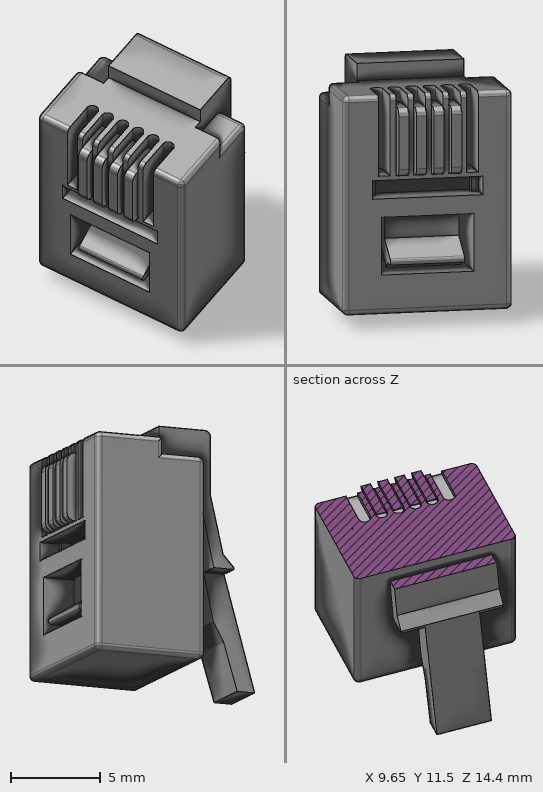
import cadquery as cq
import math


OVERALL_DEPTH = 11.5
OVERALL_HEIGHT = 14.4
CONTACT_PROTRUSION = 0.5

BODY_WIDTH = 9.65
BODY_DEPTH = 6.6
BODY_HEIGHT = 12.45
SHOULDER_Y = 4.06
SHOULDER_Z = 11.52
BODY_FILLET = 0.32

LATCH_WIDTH = 6.1
LATCH_TIP_WIDTH = 3.25
LATCH_TOP = 13.44
LATCH_BLOCK_FRONT = 4.56
LATCH_BLOCK_BACK = 7.69
LATCH_BLOCK_BOTTOM = 9.88
LATCH_FILLET = 0.36
LEVER_STEP_Z = 5.65
LEVER_ROOT_Y = 6.97
LEVER_BEND_Z = 9.76
BARB_ROOT_Y = 8.47
BARB_ROOT_Z = 6.44
BARB_TIP_Y = 9.1
BARB_TIP_Z = 5.76
RELIEF_TOP_Y = 8.48
RELIEF_TOP_Z = 2.88
RELIEF_BOTTOM_Y = 9.1
RELIEF_BOTTOM_Z = 1.79
LEVER_TIP_THICKNESS = 1.07
LEVER_TIP_Y = OVERALL_DEPTH - CONTACT_PROTRUSION
LEVER_TIP_Z = LATCH_TOP - OVERALL_HEIGHT

SLOT_COUNT = 6
CONTACT_COUNT = 4
PITCH = 1.01
ROW_X = 0.03
SLOT_WIDTH = 0.68
SLOT_DEPTH = 2.36
SLOT_BOTTOM = 7.88
CONTACT_WIDTH = 0.58
CONTACT_TOP = 11.74
CONTACT_BACK = 2.1
CONTACT_FILLET = 0.43

CROSS_SLOT_BOTTOM = 6.58
CROSS_SLOT_TOP = 7.63
CROSS_SLOT_WIDTH = 6.3
CROSS_SLOT_DEPTH = 1.15
CROSS_SLOT_INNER_WIDTH = 5.49
CROSS_SLOT_INNER_DEPTH = 1.73

WINDOW_WIDTH = 5.28
WINDOW_BOTTOM = 2.25
WINDOW_TOP = 5.53
WINDOW_DEPTH = 4.32
WINDOW_WALL_RADIUS = 9.94
BAR_WIDTH = 4.25
BAR_FACE_Y = 1.64
BAR_FACE_BOTTOM = 4.0
BAR_THICKNESS = 1.01
BAR_UNDERSIDE_BACK = 0.86
BAR_HEEL_Y = 1.12
BAR_HEEL_Z = 2.43
BAR_NOSE_Y = -0.43
BAR_NOSE_Z = 2.74
BAR_NOSE_FILLET = 0.2


def block(width, y_min, y_max, z_min, z_max):
    """Box centred on X = 0."""
    size = (width, y_max - y_min, z_max - z_min)
    return cq.Workplane("XY").box(*size, centered=(True, False, False)).translate((0, y_min, z_min))


def side_profile(points, width):
    """Closed outline of (y, z) points, extruded symmetrically along X."""
    return cq.Workplane("YZ").polyline(points).close().extrude(width / 2, both=True)


def row_positions(count):
    """X places of a row at the contact pitch, centred on ROW_X."""
    return [ROW_X + (i - (count - 1) / 2) * PITCH for i in range(count)]


def make_body():
    body = block(BODY_WIDTH, 0, BODY_DEPTH, 0, BODY_HEIGHT)
    body = body.cut(block(BODY_WIDTH, SHOULDER_Y, BODY_DEPTH, SHOULDER_Z, BODY_HEIGHT))
    outer_edges = body.faces("<X or >X or <Y or >Y or <Z").edges()
    return outer_edges.fillet(BODY_FILLET)


def make_latch():
    block_part = side_profile(
        [
            (LATCH_BLOCK_FRONT, LATCH_TOP),
            (LATCH_BLOCK_FRONT, BODY_HEIGHT),
            (SHOULDER_Y, BODY_HEIGHT),
            (SHOULDER_Y, LATCH_BLOCK_BOTTOM),
            (LATCH_BLOCK_BACK, LATCH_BLOCK_BOTTOM),
            (LATCH_BLOCK_BACK, LATCH_TOP),
        ],
        LATCH_WIDTH,
    )
    block_part = block_part.edges(">Y and >Z").fillet(LATCH_FILLET)

    lever = side_profile(
        [
            (LEVER_ROOT_Y, LATCH_BLOCK_BOTTOM),
            (LATCH_BLOCK_BACK, LATCH_BLOCK_BOTTOM),
            (LATCH_BLOCK_BACK, LEVER_BEND_Z),
            (BARB_ROOT_Y, BARB_ROOT_Z),
            (BARB_TIP_Y, BARB_TIP_Z),
            (LEVER_TIP_Y, LEVER_TIP_Z),
            (LEVER_TIP_Y - LEVER_TIP_THICKNESS, LEVER_TIP_Z),
            (RELIEF_BOTTOM_Y, RELIEF_BOTTOM_Z),
            (RELIEF_TOP_Y, RELIEF_TOP_Z),
        ],
        LATCH_WIDTH,
    )
    side_trim_width = (LATCH_WIDTH - LATCH_TIP_WIDTH) / 2
    side_trim = block(side_trim_width, BODY_DEPTH, LEVER_TIP_Y, LEVER_TIP_Z, LEVER_STEP_Z)
    trim_x = (LATCH_TIP_WIDTH + side_trim_width) / 2
    for x in (-trim_x, trim_x):
        lever = lever.cut(side_trim.translate((x, 0, 0)))
    return block_part.union(lever)


def make_contact_slot():
    radius = SLOT_WIDTH / 2
    return (
        cq.Workplane("XY", origin=(0, 0, SLOT_BOTTOM))
        .moveTo(-radius, 0)
        .lineTo(radius, 0)
        .lineTo(radius, SLOT_DEPTH - radius)
        .threePointArc((0, SLOT_DEPTH), (-radius, SLOT_DEPTH - radius))
        .close()
        .extrude(BODY_HEIGHT - SLOT_BOTTOM)
    )


def make_contact():
    contact = block(CONTACT_WIDTH, -CONTACT_PROTRUSION, CONTACT_BACK, SLOT_BOTTOM, CONTACT_TOP)
    return contact.edges("|X").fillet(CONTACT_FILLET)


def make_cross_slot():
    outer = block(CROSS_SLOT_WIDTH, 0, CROSS_SLOT_DEPTH, CROSS_SLOT_BOTTOM, CROSS_SLOT_TOP)
    inner = block(CROSS_SLOT_INNER_WIDTH, 0, CROSS_SLOT_INNER_DEPTH, CROSS_SLOT_BOTTOM, CROSS_SLOT_TOP)
    return outer.union(inner)


def make_window():
    half_width = WINDOW_WIDTH / 2
    sagitta = WINDOW_WALL_RADIUS - math.sqrt(WINDOW_WALL_RADIUS**2 - half_width**2)
    return (
        cq.Workplane("XY", origin=(0, 0, WINDOW_BOTTOM))
        .moveTo(-half_width, 0)
        .lineTo(half_width, 0)
        .lineTo(half_width, WINDOW_DEPTH - sagitta)
        .threePointArc((0, WINDOW_DEPTH), (-half_width, WINDOW_DEPTH - sagitta))
        .close()
        .extrude(WINDOW_TOP - WINDOW_BOTTOM)
    )


def make_clamping_bar():
    bar = side_profile(
        [
            (BAR_NOSE_Y, BAR_NOSE_Z),
            (BAR_FACE_Y, BAR_FACE_BOTTOM),
            (BAR_FACE_Y, WINDOW_TOP),
            (BAR_FACE_Y + BAR_THICKNESS, WINDOW_TOP),
            (BAR_FACE_Y + BAR_THICKNESS, BAR_FACE_BOTTOM - BAR_THICKNESS / 2),
            (BAR_HEEL_Y, BAR_HEEL_Z),
            (BAR_UNDERSIDE_BACK, BAR_NOSE_Z),
        ],
        BAR_WIDTH,
    )
    return bar.edges("<Y").fillet(BAR_NOSE_FILLET)


result = make_body().union(make_latch())

for x in row_positions(SLOT_COUNT):
    result = result.cut(make_contact_slot().translate((x, 0, 0)))
for x in row_positions(CONTACT_COUNT):
    result = result.union(make_contact().translate((x, 0, 0)))

result = result.cut(make_cross_slot()).cut(make_window()).union(make_clamping_bar())